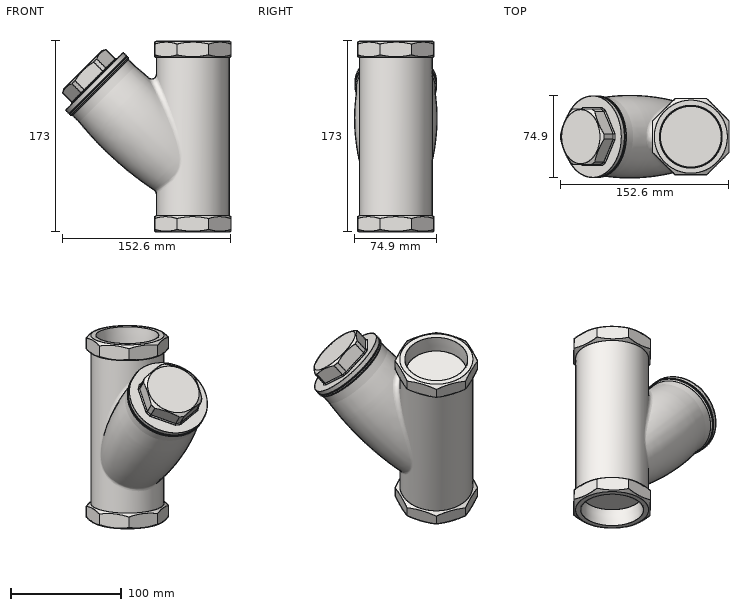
import cadquery as cq
import math

length = 173.0
pipe_diameter = 66.3
nut_flats = 69.2
nut_height = 14.9
bore_mouth_diameter = 57.0
bore_floor_diameter = 55.2
bore_depth = 16.1
bore_straight_depth = 1.2

branch_angle = 45.0
branch_root_z = -39.1
neck_diameter = 71.6
bulge_diameter = 74.9
bulge_distance = 78.2
neck_start = 109.5
blend_radius = 4.2

flange_diameter = 74.0
cap_seat = 126.1
flange_thickness = 4.3
gasket_thickness = 0.9
gasket_recess = 0.3
lip_thickness = 1.4

head_height = 14.9
head_flats = 50.5
head_corners = 55.7
head_face_diameter = 49.0
head_foot_chamfer = 1.0
head_foot_rim = 0.2

nut_chamfer_slope = math.tan(math.radians(30))


def polygon_prism(sides, flats, height):
    """Regular prism on the XY plane, with flats facing +Y and -Y."""
    corner_diameter = flats / math.cos(math.pi / sides)
    turn = 180 / sides if sides % 4 == 0 else 0
    prism = cq.Workplane("XY").polygon(sides, corner_diameter).extrude(height)
    return prism.rotate((0, 0, 0), (0, 0, 1), turn)


def chamfer_cone(face_diameter, face_z, height):
    """Solid cone that widens downward from a face and trims the corners of a nut."""
    face_radius = face_diameter / 2
    foot_radius = face_radius + height / nut_chamfer_slope
    profile = [
        (0, face_z),
        (face_radius, face_z),
        (foot_radius, face_z - height),
        (0, face_z - height),
    ]
    return cq.Workplane("XZ").polyline(profile).close().revolve(360, (0, 0), (0, 1))


def place_on_branch(shape):
    """Tilt a shape built along Z onto the branch axis."""
    return shape.rotate((0, 0, 0), (0, 1, 0), -branch_angle).translate((0, 0, branch_root_z))


def make_end_nut():
    """Octagonal nut at the top end, chamfered on both faces."""
    top = length / 2
    middle = top - nut_height / 2
    nut = polygon_prism(8, nut_flats, nut_height).translate((0, 0, top - nut_height))
    cone = chamfer_cone(pipe_diameter, top, nut_height)
    lower_cone = cone.mirror("XY", (0, 0, middle))
    return nut.intersect(cone).intersect(lower_cone)


def make_end_bore():
    """Blind bore at the top end, tapered down to a short straight floor section."""
    top = length / 2
    floor = top - bore_depth
    mouth_radius = bore_mouth_diameter / 2
    floor_radius = bore_floor_diameter / 2
    profile = [
        (0, top),
        (mouth_radius, top),
        (floor_radius, floor + bore_straight_depth),
        (floor_radius, floor),
        (0, floor),
    ]
    return cq.Workplane("XZ").polyline(profile).close().revolve(360, (0, 0), (0, 1))


def make_branch_body():
    """Barrel whose side is one arc, from the pipe axis up to the neck."""
    bulge_radius = bulge_diameter / 2
    neck_radius = neck_diameter / 2
    rise = bulge_radius - neck_radius
    run = neck_start - bulge_distance
    arc_radius = (run**2 + rise**2) / (2 * rise)
    root_radius = bulge_radius - arc_radius + math.sqrt(arc_radius**2 - bulge_distance**2)
    barrel = (
        cq.Workplane("XZ")
        .lineTo(root_radius, 0)
        .threePointArc((bulge_radius, bulge_distance), (neck_radius, neck_start))
        .lineTo(0, neck_start)
        .close()
        .revolve(360, (0, 0), (0, 1))
    )
    return place_on_branch(barrel)


def make_neck():
    """Straight neck, chamfered lip, gasket and cap flange."""
    neck_radius = neck_diameter / 2
    flange_radius = flange_diameter / 2
    gasket_radius = flange_radius - gasket_recess
    flange_bottom = cap_seat - flange_thickness
    lip_top = flange_bottom - gasket_thickness
    lip_bottom = lip_top - lip_thickness
    chamfer_bottom = lip_bottom - (flange_radius - neck_radius)
    profile = [
        (0, neck_start),
        (neck_radius, neck_start),
        (neck_radius, chamfer_bottom),
        (flange_radius, lip_bottom),
        (flange_radius, lip_top),
        (gasket_radius, lip_top),
        (gasket_radius, flange_bottom),
        (flange_radius, flange_bottom),
        (flange_radius, cap_seat),
        (0, cap_seat),
    ]
    neck = cq.Workplane("XZ").polyline(profile).close().revolve(360, (0, 0), (0, 1))
    return place_on_branch(neck)


def cut_corner_hexagon(flats, corners, height):
    """Hexagonal prism with each corner cut by a flat."""
    corner_cutter = polygon_prism(6, corners, height).rotate((0, 0, 0), (0, 0, 1), 30)
    return polygon_prism(6, flats, height).intersect(corner_cutter)


def make_cap_head():
    """Hexagonal head, chamfered at its outer face and flared at its foot."""
    head = cut_corner_hexagon(head_flats, head_corners, head_height)
    head = head.intersect(chamfer_cone(head_face_diameter, head_height, head_height))
    foot_growth = 2 * head_foot_chamfer
    foot_height = head_foot_chamfer + head_foot_rim
    foot = cut_corner_hexagon(head_flats + foot_growth, head_corners + foot_growth, foot_height)
    foot = foot.faces(">Z").chamfer(head_foot_chamfer)
    return place_on_branch(head.union(foot).translate((0, 0, cap_seat)))


pipe = cq.Workplane("XY").circle(pipe_diameter / 2).extrude(length / 2, both=True)
result = pipe.union(make_branch_body())

blend_edges = result.edges("%BSPLINE")
result = blend_edges.fillet(blend_radius)
result = result.union(make_neck()).union(make_cap_head())

end_nut = make_end_nut()
end_bore = make_end_bore()
result = result.union(end_nut).union(end_nut.mirror("XY"))
result = result.cut(end_bore).cut(end_bore.mirror("XY"))